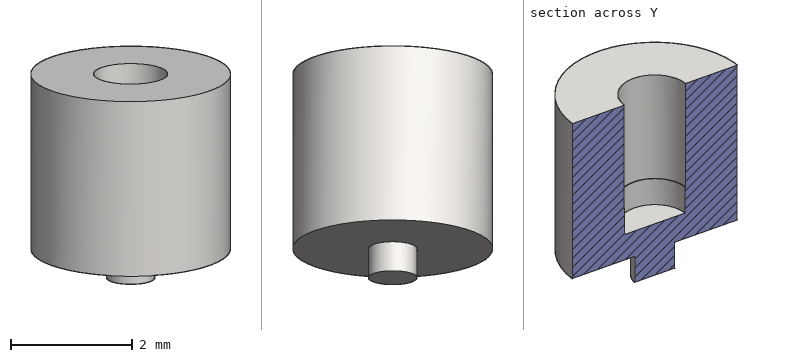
import cadquery as cq

total_height = 3.5
body_diameter = 3.3
pin_diameter = 0.8
pin_length = 0.5
bore_diameter = 1.22
bore_depth = 2.0
lower_bore_diameter = 1.2
floor_thickness = 0.5

body_height = total_height - pin_length
full_bore_depth = body_height - floor_thickness

body = cq.Workplane("XY").circle(body_diameter / 2).extrude(body_height)

pin = cq.Workplane("XY").circle(pin_diameter / 2).extrude(-pin_length)


def bore_from_top(diameter, depth):
    """Cylinder reaching down from the top face, for cutting the bore."""
    return cq.Workplane("XY").workplane(offset=body_height).circle(diameter / 2).extrude(-depth)


upper_bore = bore_from_top(bore_diameter, bore_depth)
lower_bore = bore_from_top(lower_bore_diameter, full_bore_depth)

result = body.union(pin).cut(upper_bore).cut(lower_bore)